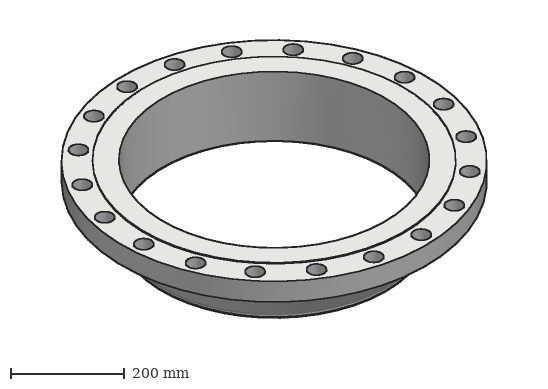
import cadquery as cq

flange_diameter = 749.0
total_height = 149.0
flange_thickness = 44.0
raised_face_diameter = 640.0
raised_face_height = 2.0

bore_diameter = 547.0
neck_top_diameter = 614.0
weld_end_diameter = 555.0
weld_end_height = 10.0
weld_bevel_width = 2.0
weld_bevel_height = 4.0
root_fillet = 13.0

bolt_count = 20
bolt_circle_diameter = 692.0
bolt_hole_diameter = 35.0

raised_face_level = total_height
flange_top = raised_face_level - raised_face_height
flange_bottom = flange_top - flange_thickness


def flange_body():
    """Revolve the half section of the bored flange about Z."""
    section = (
        cq.Workplane("XZ")
        .moveTo(bore_diameter / 2, 0)
        .lineTo(weld_end_diameter / 2 - weld_bevel_width, 0)
        .lineTo(weld_end_diameter / 2, weld_bevel_height)
        .lineTo(weld_end_diameter / 2, weld_end_height)
        .lineTo(neck_top_diameter / 2, flange_bottom)
        .lineTo(flange_diameter / 2, flange_bottom)
        .lineTo(flange_diameter / 2, flange_top)
        .lineTo(raised_face_diameter / 2, flange_top)
        .lineTo(raised_face_diameter / 2, raised_face_level)
        .lineTo(bore_diameter / 2, raised_face_level)
        .close()
    )
    return section.revolve(360, (0, 0, 0), (0, 1, 0))


def round_neck_root(body):
    """Fillet the corner where the neck meets the underside of the flange."""
    reach = neck_top_diameter / 2 + root_fillet / 2
    margin = root_fillet / 2
    root_edge = cq.selectors.BoxSelector(
        (-reach, -reach, flange_bottom - margin),
        (reach, reach, flange_bottom + margin),
        boundingbox=True,
    )
    return body.edges(root_edge).fillet(root_fillet)


def bolt_holes():
    """Through holes evenly spaced on the bolt circle."""
    return (
        cq.Workplane("XY")
        .workplane(offset=flange_bottom)
        .polarArray(bolt_circle_diameter / 2, 0, 360, bolt_count)
        .circle(bolt_hole_diameter / 2)
        .extrude(flange_thickness)
    )


result = round_neck_root(flange_body()).cut(bolt_holes())